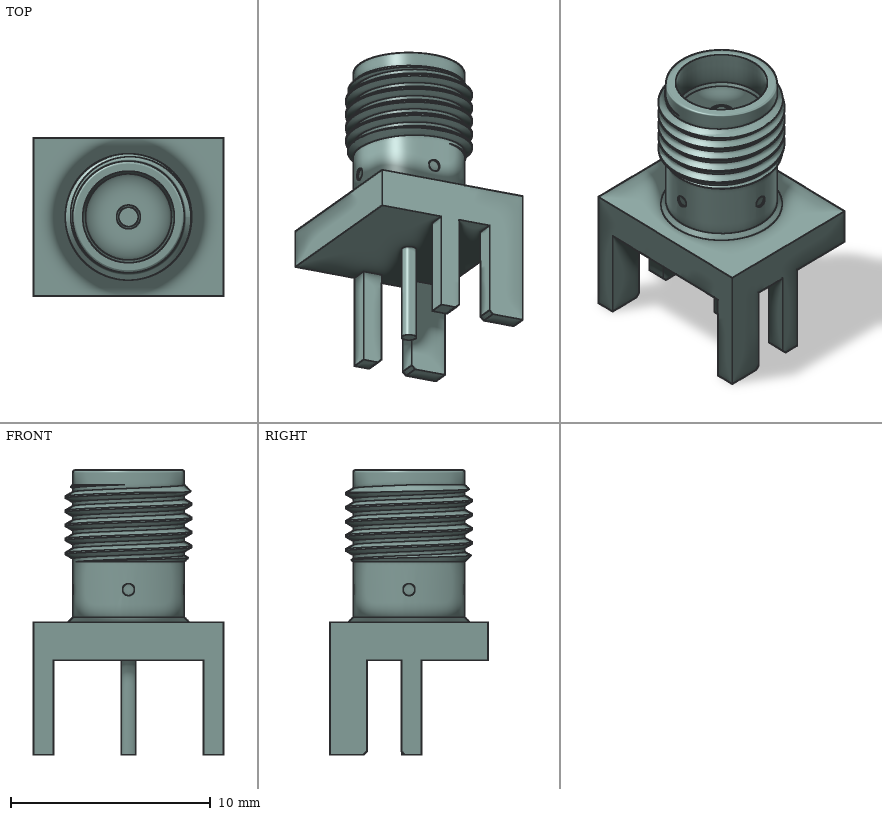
import cadquery as cq

BASE_X = 9.53
BASE_Y = 7.92
TOTAL_Z = 14.27
BASE_BOTTOM_Z = 4.74
BASE_TOP_Z = 6.65
LEG_WIDTH = 1.01
FRONT_LEG_DEPTH = 1.87
MIDDLE_LEG_FRONT_Y = -0.39
LEG_CHAMFER = 0.19
PIN_RADIUS = 0.37

BARREL_RADIUS = 2.8
FLARE_SIZE = 0.24
RIM_FILLET = 0.13

BORE_RADIUS = 2.3
BORE_DEPTH = 1.87
BORE_FLOOR_CHAMFER = 0.14

CONTACT_RADIUS = 0.49
INSULATOR_HOLE_RADIUS = 0.6
CONTACT_GROOVE_DEPTH = 0.14

SIDE_HOLE_RADIUS = 0.3
SIDE_HOLE_Z = 8.28
SIDE_HOLE_DEPTH = 0.1

THREAD_BOTTOM_Z = 9.68
THREAD_TOP_Z = 13.53
THREAD_PITCH = 0.706
THREAD_RADIUS = 3.17
THREAD_ROOT_WIDTH = 0.51
THREAD_CREST_WIDTH = 0.09
THREAD_SINK = 0.07
THREAD_CLEARANCE = 0.14
THREAD_CREST_Z = 9.73


def make_base():
    height = BASE_TOP_Z - BASE_BOTTOM_Z
    plate = cq.Workplane("XY", origin=(0, 0, BASE_BOTTOM_Z))
    return plate.rect(BASE_X, BASE_Y).extrude(height)


def make_leg(side, front_y, depth, chamfered_edge):
    """Leg flush with one X side of the plate, chamfered on one foot edge."""
    center_x = side * (BASE_X - LEG_WIDTH) / 2
    leg = cq.Workplane("XY", origin=(center_x, front_y + depth / 2, 0))
    leg = leg.rect(LEG_WIDTH, depth).extrude(BASE_BOTTOM_Z)
    return leg.faces("<Z").edges(chamfered_edge).chamfer(LEG_CHAMFER)


def make_barrel():
    flare_radius = BARREL_RADIUS + FLARE_SIZE
    outline = [
        (0, BASE_TOP_Z),
        (flare_radius, BASE_TOP_Z),
        (BARREL_RADIUS, BASE_TOP_Z + FLARE_SIZE),
        (BARREL_RADIUS, TOTAL_Z),
        (0, TOTAL_Z),
    ]
    barrel = cq.Workplane("XZ").polyline(outline).close().revolve(360, (0, 0), (0, 1))
    return barrel.faces(">Z").edges().fillet(RIM_FILLET)


def make_thread():
    """Helical ridge, tapered at 45 degrees down to the barrel at both ends."""
    start_z = THREAD_CREST_Z - THREAD_PITCH
    length = THREAD_TOP_Z - start_z + THREAD_PITCH
    root_radius = BARREL_RADIUS - THREAD_SINK
    half_crest = THREAD_CREST_WIDTH / 2
    half_root = THREAD_ROOT_WIDTH / 2
    flank_slope = (half_root - half_crest) / (THREAD_RADIUS - BARREL_RADIUS)
    half_sunk = half_root + THREAD_SINK * flank_slope
    profile = [
        (root_radius, start_z - half_sunk),
        (THREAD_RADIUS, start_z - half_crest),
        (THREAD_RADIUS, start_z + half_crest),
        (root_radius, start_z + half_sunk),
    ]
    path = cq.Wire.makeHelix(THREAD_PITCH, length, BARREL_RADIUS, center=cq.Vector(0, 0, start_z))
    ridge = cq.Workplane("XZ").polyline(profile).close().sweep(path, isFrenet=True)

    zone_radius = THREAD_RADIUS + THREAD_CLEARANCE
    taper = zone_radius - root_radius
    bottom_z = THREAD_BOTTOM_Z - THREAD_SINK
    top_z = THREAD_TOP_Z + THREAD_SINK
    threaded_zone = [
        (0, bottom_z),
        (root_radius, bottom_z),
        (zone_radius, bottom_z + taper),
        (zone_radius, top_z - taper),
        (root_radius, top_z),
        (0, top_z),
    ]
    envelope = cq.Workplane("XZ").polyline(threaded_zone).close().revolve(360, (0, 0), (0, 1))
    return ridge.intersect(envelope)


def make_bore():
    floor_z = TOTAL_Z - BORE_DEPTH
    bore = cq.Workplane("XY", origin=(0, 0, floor_z)).circle(BORE_RADIUS).extrude(BORE_DEPTH)
    return bore.faces("<Z").chamfer(BORE_FLOOR_CHAMFER)


def make_contact_groove():
    groove = cq.Workplane("XY", origin=(0, 0, TOTAL_Z - BORE_DEPTH))
    return groove.circle(INSULATOR_HOLE_RADIUS).circle(CONTACT_RADIUS).extrude(-CONTACT_GROOVE_DEPTH)


def make_side_hole(angle):
    hole = cq.Workplane("YZ", origin=(BARREL_RADIUS - SIDE_HOLE_DEPTH, 0, SIDE_HOLE_Z))
    hole = hole.circle(SIDE_HOLE_RADIUS).extrude(2 * SIDE_HOLE_DEPTH)
    return hole.rotate((0, 0, 0), (0, 0, 1), angle)


result = make_base().union(make_barrel())
for side in (-1, 1):
    result = result.union(make_leg(side, -BASE_Y / 2, FRONT_LEG_DEPTH, ">Y"))
    result = result.union(make_leg(side, MIDDLE_LEG_FRONT_Y, LEG_WIDTH, "<Y"))

pin = cq.Workplane("XY").circle(PIN_RADIUS).extrude(BASE_BOTTOM_Z)
result = result.union(pin)

result = result.cut(make_bore()).cut(make_contact_groove())
for angle in (0, 90, 180, 270):
    result = result.cut(make_side_hole(angle))

result = result.union(make_thread(), clean=False)